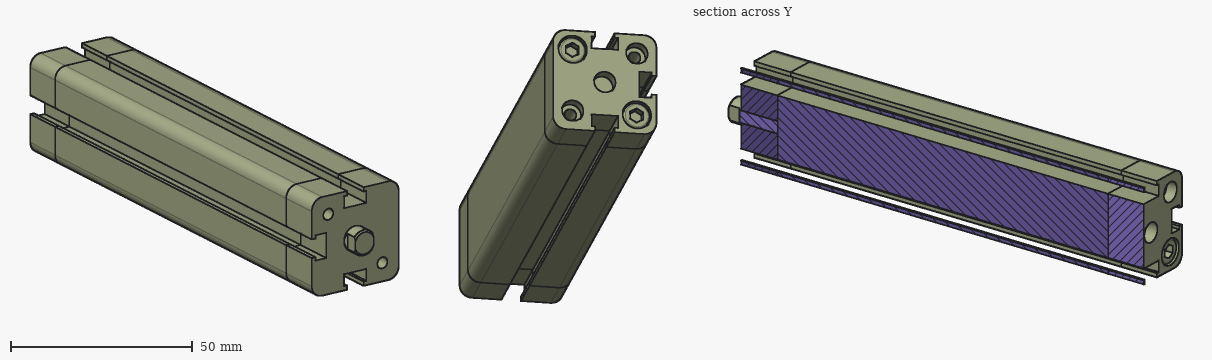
import cadquery as cq

width = 29.0
total_length = 142.5
rod_projection = 4.5
corner_radius = 3.5
rear_cap_length = 12.2
front_cap_length = 12.5

body_length = total_length - rod_projection
barrel_length = body_length - rear_cap_length - front_cap_length

slot_mouth = 5.5
slot_inner = 7.4
slot_depth = 4.8
lip_thickness = 1.3

slot_angles = (0, 90, 180)

hole_offset = 9.0
through_diameter = 3.3
counterbore_diameter = 6.0
counterbore_depth = 3.5
center_diameter = 6.0
center_depth = 4.0
bore_diameter = 8.0
bore_depth = 4.6
head_diameter = 7.5
head_recess = 0.5
head_fillet = 0.5
socket_flats = 3.6
socket_depth = 2.5

rod_diameter = 7.5
rod_flats = 6.0
rod_end_chamfer = 0.5

rear_end = 0.0
barrel_start = rear_end + rear_cap_length
front_cap_start = barrel_start + barrel_length
body_end = rear_end + body_length

open_corners = [(-hole_offset, hole_offset), (hole_offset, -hole_offset)]
axis_point = [(0, 0)]
screw_corners = [(hole_offset, hole_offset), (-hole_offset, -hole_offset)]


def section(x):
    """Cross-section plane at x: local x is Y, local y is Z, extrusion is +X."""
    return cq.Workplane("YZ", origin=(x, 0, 0))


def cylinders(x, points, diameter, length):
    """Cylinders along X, one at each (Y, Z) point."""
    return section(x).pushPoints(points).circle(diameter / 2).extrude(length)


def slot_cutter(x, length, angle):
    """T-slot cutter for the +Z face, turned about X to the wanted face."""
    top = width / 2
    cutter = (
        section(x)
        .moveTo(-slot_mouth / 2, top)
        .lineTo(-slot_mouth / 2, top - lip_thickness)
        .lineTo(-slot_inner / 2, top - lip_thickness)
        .lineTo(-slot_inner / 2, top - slot_depth)
        .lineTo(slot_inner / 2, top - slot_depth)
        .lineTo(slot_inner / 2, top - lip_thickness)
        .lineTo(slot_mouth / 2, top - lip_thickness)
        .lineTo(slot_mouth / 2, top)
        .close()
        .extrude(length)
    )
    return cutter.rotate((0, 0, 0), (1, 0, 0), angle)


def profile_block(x, length):
    """Rounded square block with the three T-slots and the through holes."""
    block = section(x).rect(width, width).extrude(length).edges("|X").fillet(corner_radius)
    for angle in slot_angles:
        block = block.cut(slot_cutter(x, length, angle))
    return block.cut(cylinders(x, open_corners, through_diameter, length))


def screw_head(corner):
    """Round-edged socket head standing on the bore floor, below the cap face."""
    head_start = rear_end + head_recess
    head = cylinders(head_start, [corner], head_diameter, bore_depth - head_recess)
    head = head.faces("<X").edges().fillet(head_fillet)
    socket = (
        section(head_start)
        .center(*corner)
        .polygon(6, socket_flats, circumscribed=True)
        .extrude(socket_depth)
    )
    return head.cut(socket)


def make_rear_cap():
    """End cap with two stepped corner holes, a blind center hole and two recessed screw heads."""
    cap = profile_block(rear_end, rear_cap_length)
    cap = cap.cut(cylinders(rear_end, open_corners, counterbore_diameter, counterbore_depth))
    cap = cap.cut(cylinders(rear_end, axis_point, center_diameter, center_depth))
    cap = cap.cut(cylinders(rear_end, screw_corners, bore_diameter, bore_depth))
    for corner in screw_corners:
        cap = cap.union(screw_head(corner))
    return cap


def make_front_cap():
    """End cap with a central bore for the rod."""
    cap = profile_block(front_cap_start, front_cap_length)
    return cap.cut(cylinders(front_cap_start, axis_point, rod_diameter, front_cap_length))


def make_rod():
    """Round rod with two flats that run out at 45 degrees at the cap face."""
    rod = cylinders(front_cap_start, axis_point, rod_diameter, front_cap_length + rod_projection)
    rod = rod.faces(">X").chamfer(rod_end_chamfer)
    rod_radius = rod_diameter / 2
    flat_half = rod_flats / 2
    flat_start = body_end + rod_radius - flat_half
    rod_end = body_end + rod_projection
    for side in (-1, 1):
        cutter = (
            cq.Workplane("XY", origin=(0, 0, -rod_radius))
            .moveTo(body_end, side * rod_radius)
            .lineTo(flat_start, side * flat_half)
            .lineTo(rod_end, side * flat_half)
            .lineTo(rod_end, side * rod_radius)
            .close()
            .extrude(rod_diameter)
        )
        rod = rod.cut(cutter)
    return rod


rear_cap = make_rear_cap()
barrel = profile_block(barrel_start, barrel_length)
front_cap = make_front_cap()
rod = make_rod()

result = cq.Compound.makeCompound([rear_cap.val(), barrel.val(), front_cap.val(), rod.val()])